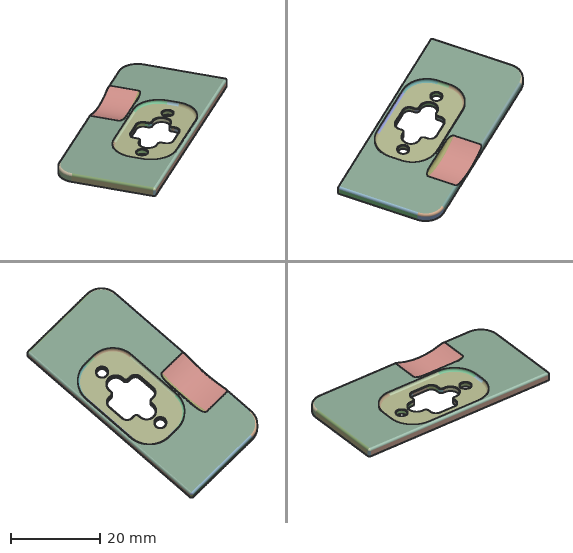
import cadquery as cq

plate_width = 24.3
plate_length = 51.0
plate_thickness = 2.0
left_corner_radius = 4.5
edge_radius = 0.5

notch_y = 7.0
notch_length = 8.0
notch_depth = 1.5
notch_floor_radius = 17.0
notch_end_fillet = 0.95

recess_x = 3.8
recess_y = -1.0
recess_width = 14.8
recess_length = 25.9
recess_depth = 0.75
recess_corner_radius = 6.0
recess_floor_fillet = 0.5

window_width = 10.0
window_length = 7.0
window_corner_radius = 1.5
lobe_width = 4.05
lobe_span = 13.55
lobe_root_fillet = 0.8
root_search_margin = 0.05
screw_hole_diameter = 2.5
screw_hole_spacing = 18.0
opening_chamfer = 0.15

cut_clearance = 1.0
recess_floor_z = plate_thickness - recess_depth


def make_plate():
    plate = cq.Workplane("XY").box(plate_width, plate_length, plate_thickness, centered=(True, True, False))
    plate = plate.edges("|Z and <X").fillet(left_corner_radius)
    plate = plate.edges("|Z and >X").fillet(edge_radius)
    return plate.faces(">Z").edges().fillet(edge_radius)


def make_notch():
    start_x = -plate_width / 2 - cut_clearance
    axis_z = plate_thickness - notch_depth + notch_floor_radius
    scoop = (
        cq.Workplane("YZ", origin=(start_x, notch_y, axis_z))
        .circle(notch_floor_radius)
        .extrude(notch_length + cut_clearance)
    )
    return scoop.faces(">X").edges().fillet(notch_end_fillet)


def make_recess():
    recess = (
        cq.Workplane("XY", origin=(recess_x, recess_y, recess_floor_z))
        .rect(recess_width, recess_length)
        .extrude(recess_depth + cut_clearance)
    )
    recess = recess.edges("|Z").fillet(recess_corner_radius)
    return recess.faces("<Z").edges().fillet(recess_floor_fillet)


def make_window():
    """Rounded rectangle with a round-ended lobe above and below, blended at the roots."""
    height = recess_floor_z + cut_clearance
    base = cq.Workplane("XY", origin=(recess_x, recess_y, -cut_clearance))
    body = base.rect(window_width, window_length).extrude(height).edges("|Z").fillet(window_corner_radius)
    lobes = base.slot2D(lobe_span, lobe_width, 90).extrude(height)
    root_x = lobe_width / 2 + root_search_margin
    root_y = window_length / 2 + root_search_margin
    roots = cq.selectors.BoxSelector(
        (recess_x - root_x, recess_y - root_y, -cut_clearance),
        (recess_x + root_x, recess_y + root_y, plate_thickness),
    )
    return body.union(lobes).edges("|Z").edges(roots).fillet(lobe_root_fillet)


def make_screw_holes():
    return (
        cq.Workplane("XY", origin=(recess_x, recess_y, -cut_clearance))
        .rarray(0.5, screw_hole_spacing, 1, 2)
        .circle(screw_hole_diameter / 2)
        .extrude(recess_floor_z + cut_clearance)
    )


def chamfer_opening_rims(part):
    """Bevel the rims of the window and the screw holes where they meet the recess floor."""
    floor = part.faces(cq.selectors.NearestToPointSelector((recess_x, recess_y, recess_floor_z))).val()
    rim_edges = [edge for rim in floor.innerWires() for edge in rim.Edges()]
    return part.newObject(rim_edges).chamfer(opening_chamfer)


plate = make_plate()
plate = plate.cut(make_notch()).cut(make_recess())
plate = plate.cut(make_window()).cut(make_screw_holes())
result = chamfer_opening_rims(plate)